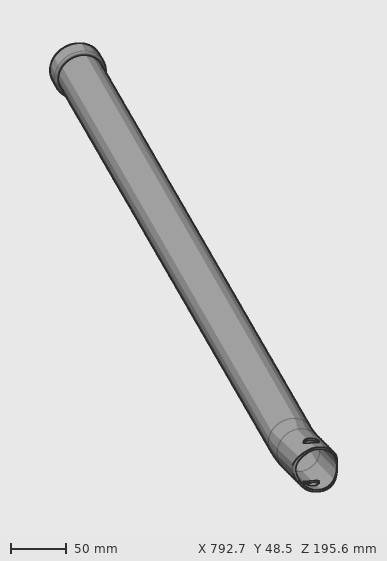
import cadquery as cq
import math

tube_diameter = 42.0
tube_wall = 2.0
bend_angle = 12.0
bend_radius = 139.0
tail_length = 60.0
slope_length = 710.0
corner_radius = 13.0
hole_diameter = 14.0
hole_to_end = 21.5

cap_diameter = 48.5
rim_length = 19.0
end_wall = 3.0
rim_round = 2.0
dome_height = 5.5

tube_radius = tube_diameter / 2
bore_radius = tube_radius - tube_wall
cap_radius = cap_diameter / 2
angle = math.radians(bend_angle)
outward = cq.Vector(-math.cos(angle), 0, math.sin(angle))
bend_start = cq.Vector(-bend_radius * math.sin(angle), 0, bend_radius * (1 - math.cos(angle)))
bend_middle = (-bend_radius * math.sin(angle / 2), bend_radius * (1 - math.cos(angle / 2)))
tube_end = bend_start + outward * slope_length


def swept_rod(radius):
    """Round rod along the full bent axis."""
    axis = (
        cq.Workplane("XZ")
        .moveTo(tail_length, 0)
        .lineTo(0, 0)
        .threePointArc(bend_middle, (bend_start.x, bend_start.z))
        .lineTo(tube_end.x, tube_end.z)
    )
    return cq.Workplane("YZ", origin=(tail_length, 0, 0)).circle(radius).sweep(axis)


def rounded_end_waste():
    """Material outside the rounded corners of the level end."""
    block = (
        cq.Workplane("XY")
        .center(tail_length - corner_radius, 0)
        .rect(2 * corner_radius, tube_diameter)
        .extrude(tube_radius, both=True)
    )
    rounded = block.edges("|Z and >X").fillet(corner_radius)
    return block.cut(rounded)


def make_tube():
    """Bent hollow tube with a cross hole and a rounded end."""
    cross_hole = (
        cq.Workplane("XY")
        .center(tail_length - hole_to_end, 0)
        .circle(hole_diameter / 2)
        .extrude(tube_diameter, both=True)
    )
    return swept_rod(tube_radius).cut(swept_rod(bore_radius)).cut(rounded_end_waste()).cut(cross_hole)


def make_cap():
    """Domed cap whose socket takes the sloping end of the tube."""
    socket_depth = rim_length - end_wall
    rim_start = tube_end - outward * socket_depth
    sideways = cq.Vector(0, 1, 0)
    profile_plane = cq.Plane(origin=rim_start, xDir=sideways, normal=sideways.cross(outward))
    dome_radius = cap_radius - rim_round
    sphere_radius = (dome_radius**2 + dome_height**2) / (2 * dome_height)
    return (
        cq.Workplane(profile_plane)
        .moveTo(0, socket_depth)
        .lineTo(tube_radius, socket_depth)
        .lineTo(tube_radius, 0)
        .lineTo(cap_radius - rim_round, 0)
        .radiusArc((cap_radius, rim_round), -rim_round)
        .lineTo(cap_radius, rim_length - rim_round)
        .radiusArc((dome_radius, rim_length), -rim_round)
        .radiusArc((0, rim_length + dome_height), -sphere_radius)
        .close()
        .revolve(360, (0, 0, 0), (0, 1, 0))
    )


tube = make_tube()
cap = make_cap()
result = cq.Compound.makeCompound([tube.val(), cap.val()])